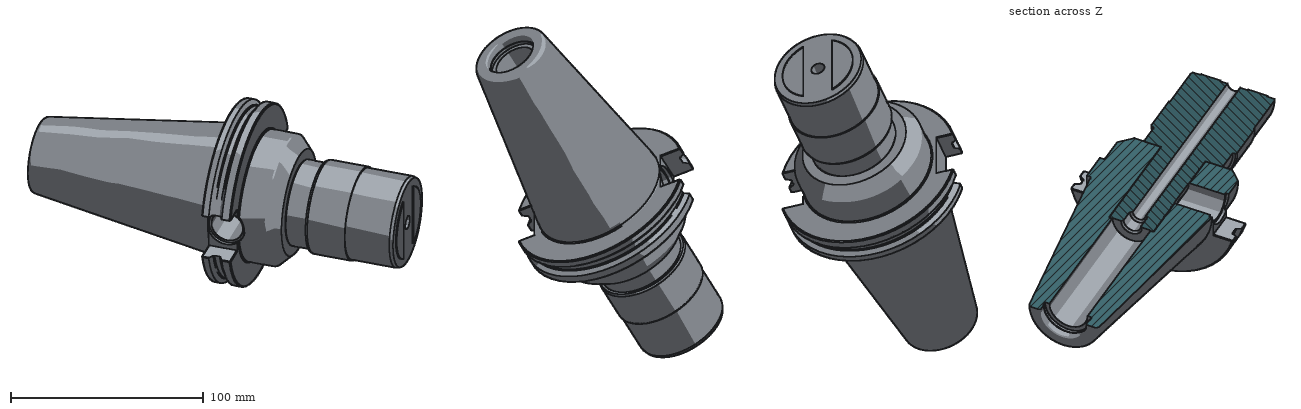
import cadquery as cq
import math


TAPER_RATE = 7 / 24
TAPER_END_X = 102.8
TAPER_LARGE_R = 35.0
TAPER_SMALL_R = TAPER_LARGE_R - TAPER_RATE * TAPER_END_X / 2
TAPER_TIP_ROUND = 2.5

FLANGE_START_X = 105.0
FLANGE_END_X = 120.9
FLANGE_R = 48.7
FLANGE_CHAMFER = 0.6
FLANGE_ROOT_ROUND = 0.6

GROOVE_CENTER_X = 112.5
GROOVE_FLOOR_R = 45.6
GROOVE_FLOOR_WIDTH = 3.6
GROOVE_WALL_ANGLE = math.radians(30)
GROOVE_CORNER_ROUND = 0.8

COLLAR_R = 35.0
COLLAR_END_X = 142.5
COLLAR_CHAMFER = 6.7
COLLAR_EDGE_ROUND = 1.2

SLOT_WIDTH = 25.0
SLOT_EDGE_CHAMFER = 0.5
FRONT_SLOT_FLOOR_Y = -35.5
BACK_SLOT_FLOOR_Y = 37.7

MOUTH_BORE_D = 26.2
MOUTH_ROUND = 1.2
MOUTH_BORE_DEPTH = 4.5
RELIEF_D = 26.8
RELIEF_DEPTH = 6.5
DRAWBAR_BORE_D = 22.0

SIDE_HOLE_X = 114.5
SIDE_HOLE_D = 17.2
SIDE_RECESS_D = 19.9
SIDE_RECESS_FLOOR_Y = -33.5

SHANK_START_X = 81.1
SHANK_D = 25.3
NECK_D = 45.8
NECK_CHAMFER = 0.6
SLEEVE_START_X = 154.3
SLEEVE_D = 49.9
SLEEVE_LEAD_LENGTH = 1.2
SLEEVE_LEAD_HEIGHT = 0.6
NOSE_START_X = 176.0
NOSE_D = 48.7
NOSE_END_X = 202.2
NOSE_LEAD_LENGTH = 1.8
NOSE_LEAD_HEIGHT = 0.6

END_BOSS_D = 38.5
END_BOSS_SLOT_WIDTH = 15.8
TIP_X = 202.8

COOLANT_D = 7.0
COOLANT_ENTRY_D = 12.2
COOLANT_ENTRY_DEPTH = 1.0
COOLANT_COUNTERBORE_D = 10.0
COOLANT_COUNTERBORE_DEPTH = 8.1
DRILL_POINT_ANGLE = math.radians(59)


TOLERANCE = 0.02


def turned(points):
    """Solid of revolution about the X axis from (x, radius) points; the axis closes the outline."""
    outline = [(points[0][0], 0), *points, (points[-1][0], 0)]
    return cq.Workplane("XY").polyline(outline).close().revolve(360, (0, 0, 0), (1, 0, 0))


def disc(start_x, end_x, diameter):
    """Plain cylinder on the X axis."""
    return turned([(start_x, diameter / 2), (end_x, diameter / 2)])


def circle_at(x, radius):
    """Selector for round edges centred on the axis at x, up to the given radius."""
    reach = radius + TOLERANCE
    return cq.selectors.BoxSelector(
        (x - TOLERANCE, -reach, -reach), (x + TOLERANCE, reach, reach), boundingbox=True
    )


def flange_ring():
    """Full disc with chamfered rims and a V-shaped gripper groove."""
    ring = disc(FLANGE_START_X, FLANGE_END_X, 2 * FLANGE_R).edges().chamfer(FLANGE_CHAMFER)
    floor_half = GROOVE_FLOOR_WIDTH / 2
    top_half = floor_half + (FLANGE_R - GROOVE_FLOOR_R) * math.tan(GROOVE_WALL_ANGLE)
    groove = (
        cq.Workplane("XY")
        .polyline([
            (GROOVE_CENTER_X - floor_half, GROOVE_FLOOR_R),
            (GROOVE_CENTER_X + floor_half, GROOVE_FLOOR_R),
            (GROOVE_CENTER_X + top_half, FLANGE_R),
            (GROOVE_CENTER_X - top_half, FLANGE_R),
        ])
        .close()
        .revolve(360, (0, 0, 0), (1, 0, 0))
    )
    ring = ring.cut(groove)
    for corner_x in (GROOVE_CENTER_X - floor_half, GROOVE_CENTER_X + floor_half):
        ring = ring.edges(circle_at(corner_x, GROOVE_FLOOR_R)).fillet(GROOVE_CORNER_ROUND)
    return ring


def drive_slot(floor_y, outer_y):
    """Slot cutter, long enough along X to trim the root rounds down to the slot floor."""
    length = FLANGE_END_X - FLANGE_START_X + 2 * FLANGE_ROOT_ROUND
    return (
        cq.Workplane("XY")
        .box(length, abs(outer_y - floor_y), SLOT_WIDTH)
        .translate(((FLANGE_START_X + FLANGE_END_X) / 2, (floor_y + outer_y) / 2, 0))
    )


def taper_and_collar():
    core = turned([
        (0, TAPER_SMALL_R),
        (TAPER_END_X, TAPER_LARGE_R),
        (FLANGE_START_X, COLLAR_R),
        (COLLAR_END_X - COLLAR_CHAMFER, COLLAR_R),
        (COLLAR_END_X, COLLAR_R - COLLAR_CHAMFER),
    ])
    core = core.edges(circle_at(0, TAPER_SMALL_R)).fillet(TAPER_TIP_ROUND)
    return core.edges(circle_at(COLLAR_END_X - COLLAR_CHAMFER, COLLAR_R)).fillet(COLLAR_EDGE_ROUND)


def flanged_core():
    body = taper_and_collar().union(flange_ring())
    for face_x in (FLANGE_START_X, FLANGE_END_X):
        body = body.edges(circle_at(face_x, COLLAR_R)).fillet(FLANGE_ROOT_ROUND)
    return body


def is_slot_rim(edge):
    """True for the outer edges of the slot walls, except at the floor and in the groove."""
    center = edge.Center()
    on_wall = abs(abs(center.z) - SLOT_WIDTH / 2) < TOLERANCE
    on_face = min(abs(center.x - FLANGE_START_X), abs(center.x - FLANGE_END_X)) < FLANGE_CHAMFER
    on_land = abs(math.hypot(center.y, center.z) - FLANGE_R) < TOLERANCE
    runs_along_y = abs(edge.tangentAt(0).z) < TOLERANCE
    return on_wall and runs_along_y and (on_face or on_land)


def cut_drive_slots(body):
    body = body.cut(drive_slot(FRONT_SLOT_FLOOR_Y, -FLANGE_R))
    body = body.cut(drive_slot(BACK_SLOT_FLOOR_Y, FLANGE_R))
    rims = [edge for edge in body.edges().vals() if is_slot_rim(edge)]
    return body.newObject(rims).chamfer(SLOT_EDGE_CHAMFER)


def drawbar_bore(body):
    body = body.cut(disc(0, MOUTH_BORE_DEPTH, MOUTH_BORE_D))
    body = body.edges(circle_at(0, MOUTH_BORE_D / 2)).fillet(MOUTH_ROUND)
    body = body.cut(disc(MOUTH_BORE_DEPTH, RELIEF_DEPTH, RELIEF_D))
    return body.cut(disc(RELIEF_DEPTH, SHANK_START_X, DRAWBAR_BORE_D))


def side_cylinder(diameter, inner_y):
    """Cylinder along Y at the radial hole, from inner_y out past the -Y side of the flange."""
    return (
        cq.Workplane("XZ", origin=(SIDE_HOLE_X, inner_y, 0))
        .circle(diameter / 2)
        .extrude(FLANGE_R + inner_y)
    )


def make_holder():
    holder = drawbar_bore(cut_drive_slots(flanged_core()))
    holder = holder.cut(side_cylinder(SIDE_HOLE_D, 0))
    holder = holder.cut(side_cylinder(SIDE_RECESS_D, SIDE_RECESS_FLOOR_Y))
    return holder.cut(disc(SHANK_START_X, COLLAR_END_X, SHANK_D))


def end_boss():
    """Low round boss on the tip, split by a slot that runs along Z."""
    slot = (
        cq.Workplane("XY")
        .box(TIP_X - NOSE_END_X, END_BOSS_SLOT_WIDTH, END_BOSS_D)
        .translate(((NOSE_END_X + TIP_X) / 2, 0, 0))
    )
    return disc(NOSE_END_X, TIP_X, END_BOSS_D).cut(slot)


def coolant_passage():
    drill = disc(SHANK_START_X, TIP_X, COOLANT_D)
    counterbore = disc(SHANK_START_X, SHANK_START_X + COOLANT_COUNTERBORE_DEPTH, COOLANT_COUNTERBORE_D)
    countersink = turned([
        (SHANK_START_X, COOLANT_ENTRY_D / 2),
        (SHANK_START_X + COOLANT_ENTRY_DEPTH, COOLANT_COUNTERBORE_D / 2),
    ])
    drill_point_start_x = SHANK_START_X + COOLANT_COUNTERBORE_DEPTH
    point_depth = (COOLANT_COUNTERBORE_D - COOLANT_D) / 2 / math.tan(DRILL_POINT_ANGLE)
    drill_point = turned([
        (drill_point_start_x, COOLANT_COUNTERBORE_D / 2),
        (drill_point_start_x + point_depth, COOLANT_D / 2),
    ])
    return drill.union(counterbore).union(countersink).union(drill_point)


def make_adapter():
    adapter = turned([
        (SHANK_START_X, SHANK_D / 2),
        (COLLAR_END_X, SHANK_D / 2),
        (COLLAR_END_X, NECK_D / 2 - NECK_CHAMFER),
        (COLLAR_END_X + NECK_CHAMFER, NECK_D / 2),
        (SLEEVE_START_X, NECK_D / 2),
        (SLEEVE_START_X, SLEEVE_D / 2 - SLEEVE_LEAD_HEIGHT),
        (SLEEVE_START_X + SLEEVE_LEAD_LENGTH, SLEEVE_D / 2),
        (NOSE_START_X, SLEEVE_D / 2),
        (NOSE_START_X, NOSE_D / 2),
        (NOSE_END_X - NOSE_LEAD_LENGTH, NOSE_D / 2),
        (NOSE_END_X, NOSE_D / 2 - NOSE_LEAD_HEIGHT),
    ])
    return adapter.union(end_boss()).cut(coolant_passage())


holder = make_holder()
adapter = make_adapter()

result = cq.Compound.makeCompound([holder.val(), adapter.val()])